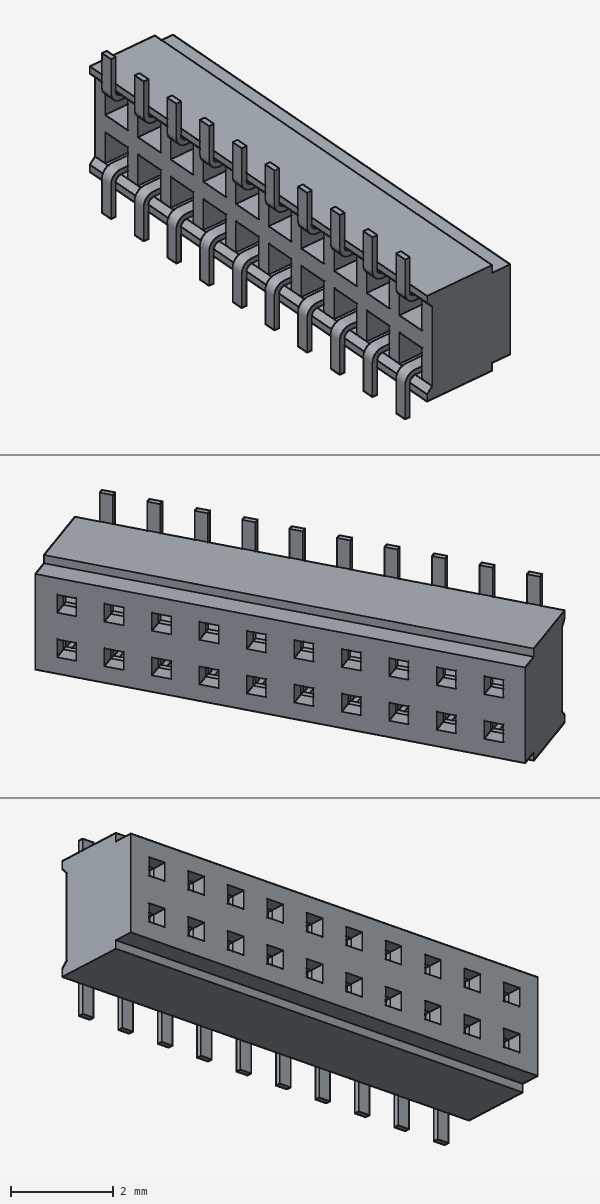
import cadquery as cq


columns = 10
pitch = 1.0
column_xs = [(i - (columns - 1) / 2) * pitch for i in range(columns)]
row_signs = [1, -1]
row_z = pitch / 2

lead_width = 0.28
lead_thickness = 0.12
bend_inner_radius = 0.13
bend_outer_radius = bend_inner_radius + lead_thickness
lead_tip_z = 1.904

length = 10.32
back_y = 2.25
lip_y = lead_thickness
front_y = lip_y + bend_inner_radius
head_depth = 0.46
shoulder_y = back_y - head_depth
body_half_height = 1.26
head_half_height = 1.07

pocket_width = 0.69
pocket_inner_z = 0.21
pocket_outer_z = 0.95
pocket_height = pocket_outer_z - pocket_inner_z
window_size = 0.4
lip_inner_z = pocket_outer_z + bend_inner_radius

plate_length = column_xs[-1] - column_xs[0] + pocket_width
plate_height = 2 * pocket_outer_z
plate_back_y = shoulder_y + lead_thickness


def block(x_size, z_size, y_start, y_end, x=0, z=0):
    """Box centred on (x, z) that spans y_start to y_end."""
    y_size = y_end - y_start
    return cq.Workplane("XY").box(x_size, y_size, z_size).translate((x, y_start + y_size / 2, z))


def extrude_along_x(profile, width):
    """Extrude a closed profile in the YZ plane, centred on X = 0."""
    return profile.extrude(width / 2, both=True)


def cut_windows(body):
    """Cut the square through windows, one per contact."""
    for x in column_xs:
        for sign in row_signs:
            body = body.cut(block(window_size, window_size, lip_y, back_y, x, sign * row_z))
    return body


def make_plate():
    """Solid carrier plate, without windows."""
    return block(plate_length, plate_height, shoulder_y, plate_back_y)


def make_housing():
    """Stepped block with chamfered lips along the front, pockets, and a seat for the plate."""
    upper_edge = [
        (front_y, pocket_outer_z),
        (lip_y, lip_inner_z),
        (lip_y, body_half_height),
        (shoulder_y, body_half_height),
        (shoulder_y, head_half_height),
        (back_y, head_half_height),
    ]
    lower_edge = [(y, -z) for y, z in reversed(upper_edge)]
    outline = cq.Workplane("YZ").polyline(upper_edge + lower_edge).close()
    housing = extrude_along_x(outline, length)

    pocket_z = (pocket_inner_z + pocket_outer_z) / 2
    for x in column_xs:
        for sign in row_signs:
            pocket = block(pocket_width, pocket_height, front_y, shoulder_y, x, sign * pocket_z)
            housing = housing.cut(pocket)
    return cut_windows(housing.cut(make_plate()))


def make_lead(sign):
    """L-shaped lead from the plate to its tip, bent towards +Z (sign 1) or -Z (sign -1)."""
    bend_y = bend_outer_radius
    bend_z = lip_inner_z
    diagonal = 0.5 ** 0.5

    def bend_middle(radius):
        return (bend_y - radius * diagonal, sign * (bend_z - radius * diagonal))

    profile = (
        cq.Workplane("YZ")
        .moveTo(shoulder_y, sign * pocket_outer_z)
        .lineTo(bend_y, sign * pocket_outer_z)
        .threePointArc(bend_middle(bend_inner_radius), (lead_thickness, sign * bend_z))
        .lineTo(lead_thickness, sign * lead_tip_z)
        .lineTo(0, sign * lead_tip_z)
        .lineTo(0, sign * bend_z)
        .threePointArc(bend_middle(bend_outer_radius), (bend_y, sign * (bend_z - bend_outer_radius)))
        .lineTo(shoulder_y, sign * (bend_z - bend_outer_radius))
        .close()
    )
    return extrude_along_x(profile, lead_width)


def make_contacts():
    """All leads joined by the windowed carrier plate, as one solid."""
    contacts = cut_windows(make_plate())
    for sign in row_signs:
        lead = make_lead(sign)
        for x in column_xs:
            contacts = contacts.union(lead.translate((x, 0, 0)))
    return contacts


housing = make_housing()
contacts = make_contacts()
result = cq.Compound.makeCompound([housing.val(), contacts.val()])